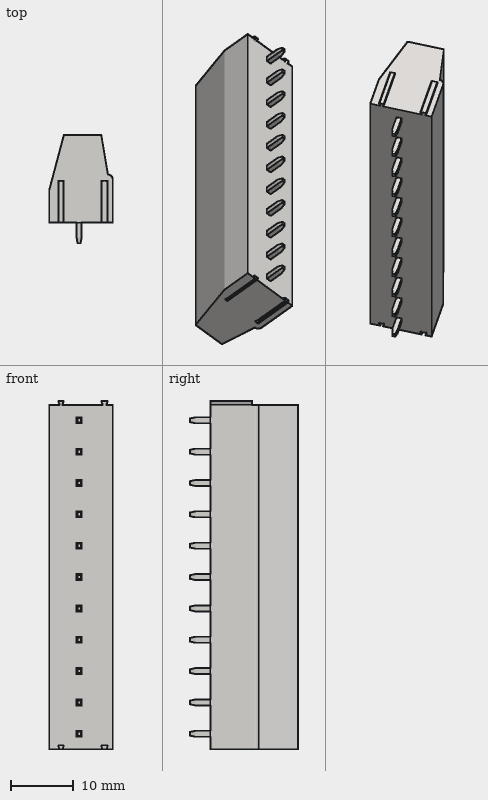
import cadquery as cq

body_width = 10.2
body_depth = 14.0
body_height = 55.0
left_wall_depth = 5.2
back_left = 2.35
back_right = 8.35
shoulder_x = 9.4
shoulder_y = 7.7
right_wall_depth = 7.0
shoulder_radius = 0.9

pin_count = 11
pin_pitch = 5.0
pin_x = 4.8
pin_width = 0.85
pin_height = 1.0
pin_length = 3.3
pin_taper = 0.9
pin_tip_scale = 0.6

total_height = 55.6
tab_height = total_height - body_height
groove_depth = 0.6
dovetail_length = 6.65
neck_undercut = 0.2
chamfer_width = 0.1
chamfer_height = 0.085
left_dovetail = (1.9, 0.9)
right_dovetail = (8.85, 1.05)


def housing():
    return (
        cq.Workplane("XY")
        .lineTo(body_width, 0)
        .lineTo(body_width, right_wall_depth)
        .radiusArc((shoulder_x, shoulder_y), -shoulder_radius)
        .lineTo(back_right, body_depth)
        .lineTo(back_left, body_depth)
        .lineTo(0, left_wall_depth)
        .close()
        .extrude(body_height)
    )


def dovetail(centre_x, width, base_z, height):
    """Bar running back from the front face: an undercut neck below a chamfered head."""
    half_neck = width / 2 - neck_undercut
    half_width = width / 2
    half_top = width / 2 - chamfer_width
    widest_z = base_z + height - chamfer_height
    top_z = base_z + height
    return (
        cq.Workplane("XZ")
        .moveTo(centre_x - half_neck, base_z)
        .lineTo(centre_x + half_neck, base_z)
        .lineTo(centre_x + half_width, widest_z)
        .lineTo(centre_x + half_top, top_z)
        .lineTo(centre_x - half_top, top_z)
        .lineTo(centre_x - half_width, widest_z)
        .close()
        .extrude(-dovetail_length)
    )


def pin(z):
    shank_length = pin_length - pin_taper
    shank = (
        cq.Workplane("XZ")
        .center(pin_x, z)
        .rect(pin_width, pin_height)
        .extrude(shank_length)
    )
    tip = (
        cq.Workplane("XZ", origin=(0, -shank_length, 0))
        .center(pin_x, z)
        .rect(pin_width, pin_height)
        .workplane(offset=pin_taper)
        .rect(pin_width * pin_tip_scale, pin_height * pin_tip_scale)
        .loft(ruled=True)
    )
    return shank.union(tip)


result = housing()

for centre_x, width in (left_dovetail, right_dovetail):
    tab = dovetail(centre_x, width, body_height, tab_height)
    groove = dovetail(centre_x, width, 0, groove_depth)
    result = result.union(tab).cut(groove)

first_pin_z = (body_height - (pin_count - 1) * pin_pitch) / 2
for index in range(pin_count):
    result = result.union(pin(first_pin_z + index * pin_pitch))